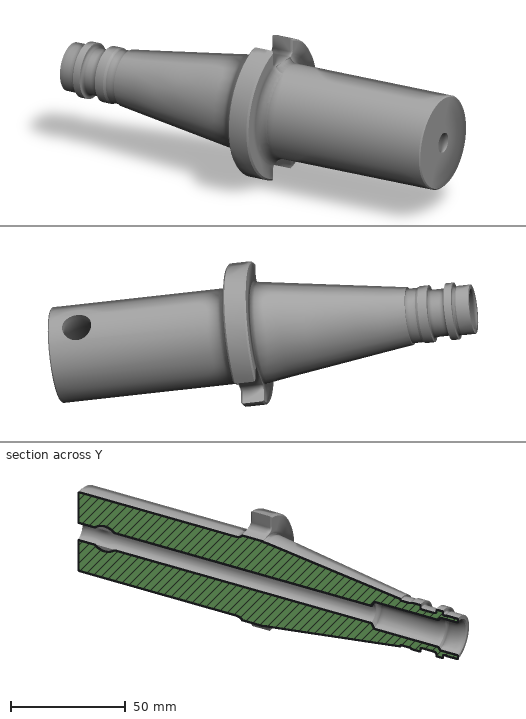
import cadquery as cq
import math

length = 185.0

pin_diameter = 21.6
pin_radius = pin_diameter / 2
relief_radius = 10.5
relief_slope = 0.5
relief_fillet = 0.5
relief_start = 5.7
collar_diameter = 25.0
collar_radius = collar_diameter / 2
collar_start = 7.4
collar_end = 10.7
neck_radius = 10.4
collar_fillet = 1.1
land_start = 18.3
land_end = 22.4
land_fillet = 0.5
rear_neck_diameter = 23.9
rear_neck_radius = rear_neck_diameter / 2
rear_neck_slope = 1.1

taper_ratio = 7 / 24
gauge_radius = 22.2
gauge_x = 93.2
taper_start = 28.0
taper_start_radius = gauge_radius - (gauge_x - taper_start) * taper_ratio / 2

flange_radius = 31.5
flange_front = 94.9
flange_back = 105.0
flange_chamfer = 0.7
root_fillet = 0.5
body_diameter = 42.0
body_radius = body_diameter / 2
body_chamfer = 0.5
body_fillet = 3.7

slot_width = 16.3
slot_floor = 22.5
slot_corner = 1.7
slot_chamfer = 0.7

mouth_chamfer = 0.5
recess_radius = 8.5
recess_depth = 8.7
thread_radius = 7.0
thread_end = 40.7
through_radius = 4.5
drill_half_angle = math.radians(60)

screw_diameter = 13.0
screw_from_end = 13.0

clearance = 1.8
overlap = 0.7


def revolve_about_x(profile):
    return profile.close().revolve(360, (0, 0, 0), (1, 0, 0))


def corner_gap(radius):
    """Distance along each side of a square corner from the corner to the middle of its fillet."""
    return radius * (1 - math.sqrt(0.5))


def turned_blank():
    collar_gap = corner_gap(collar_fillet)
    relief_gap = corner_gap(relief_fillet)
    land_gap = corner_gap(land_fillet)
    root_gap = corner_gap(root_fillet)
    profile = (
        cq.Workplane("XZ")
        .moveTo(0, 0)
        .lineTo(0, pin_radius)
        .lineTo(relief_start, pin_radius)
        .lineTo(relief_start + relief_slope, relief_radius)
        .lineTo(collar_start - relief_fillet, relief_radius)
        .threePointArc(
            (collar_start - relief_gap, relief_radius + relief_gap),
            (collar_start, relief_radius + relief_fillet),
        )
        .lineTo(collar_start, collar_radius)
        .lineTo(collar_end, collar_radius)
        .lineTo(collar_end, neck_radius + collar_fillet)
        .threePointArc(
            (collar_end + collar_gap, neck_radius + collar_gap),
            (collar_end + collar_fillet, neck_radius),
        )
        .lineTo(land_start - land_fillet, neck_radius)
        .threePointArc(
            (land_start - land_gap, neck_radius + land_gap),
            (land_start, neck_radius + land_fillet),
        )
        .lineTo(land_start, collar_radius)
        .lineTo(land_end, collar_radius)
        .lineTo(land_end + rear_neck_slope, rear_neck_radius)
        .lineTo(taper_start, rear_neck_radius)
        .lineTo(taper_start, taper_start_radius)
        .lineTo(gauge_x, gauge_radius)
        .lineTo(flange_front - root_fillet, gauge_radius)
        .threePointArc(
            (flange_front - root_gap, gauge_radius + root_gap),
            (flange_front, gauge_radius + root_fillet),
        )
        .lineTo(flange_front, flange_radius - flange_chamfer)
        .lineTo(flange_front + flange_chamfer, flange_radius)
        .lineTo(flange_back - flange_chamfer, flange_radius)
        .lineTo(flange_back, flange_radius - flange_chamfer)
        .lineTo(flange_back, body_radius)
        .lineTo(length - body_chamfer, body_radius)
        .lineTo(length, body_radius - body_chamfer)
        .lineTo(length, 0)
    )
    return revolve_about_x(profile)


def slot_section(x, widening=0.0):
    """Slot outline at a given x: walls moved outward by widening, rounded into a fixed floor."""
    half_width = slot_width / 2 + widening
    corner = slot_corner + widening
    gap = corner_gap(corner)
    flat = half_width - corner
    top = flange_radius + clearance
    return (
        cq.Workplane("YZ", origin=(x, 0, 0))
        .moveTo(-half_width, top)
        .lineTo(-half_width, slot_floor + corner)
        .threePointArc((gap - half_width, slot_floor + gap), (-flat, slot_floor))
        .lineTo(flat, slot_floor)
        .threePointArc((half_width - gap, slot_floor + gap), (half_width, slot_floor + corner))
        .lineTo(half_width, top)
        .close()
    )


def slot_flare(x_face, x_inside):
    """Chamfer of the slot walls, from the full widening at a flange face to none inside."""
    outer = slot_section(x_face, slot_chamfer).wires().val()
    inner = slot_section(x_inside).wires().val()
    return cq.Workplane(cq.Solid.makeLoft([outer, inner], True))


def drive_slot():
    slot = slot_section(flange_front - clearance).extrude(flange_back - flange_front + 2 * clearance)
    slot = slot.union(slot_flare(flange_front, flange_front + slot_chamfer))
    return slot.union(slot_flare(flange_back, flange_back - slot_chamfer))


def body_fillet_ring(step_height):
    """Fillet between the body and the flange back, ending on the flange at step_height above the body."""
    drop = body_fillet - step_height
    reach = math.sqrt(body_fillet**2 - drop**2)
    centre_x = flange_back + reach
    centre_r = body_radius + body_fillet
    start_angle = math.pi + math.asin(drop / body_fillet)
    end_angle = 1.5 * math.pi
    angle = (start_angle + end_angle) / 2
    profile = (
        cq.Workplane("XZ")
        .moveTo(flange_back - overlap, body_radius - overlap)
        .lineTo(flange_back - overlap, body_radius + step_height)
        .lineTo(flange_back, body_radius + step_height)
        .threePointArc(
            (centre_x + body_fillet * math.cos(angle), centre_r + body_fillet * math.sin(angle)),
            (centre_x, body_radius),
        )
        .lineTo(centre_x, body_radius - overlap)
    )
    return revolve_about_x(profile)


def axial_bore():
    cone_length = (thread_radius - through_radius) / math.tan(drill_half_angle)
    countersink_length = (recess_radius - thread_radius) / math.tan(drill_half_angle)
    profile = (
        cq.Workplane("XZ")
        .moveTo(0, 0)
        .lineTo(0, recess_radius + mouth_chamfer)
        .lineTo(mouth_chamfer, recess_radius)
        .lineTo(recess_depth, recess_radius)
        .lineTo(recess_depth + countersink_length, thread_radius)
        .lineTo(thread_end, thread_radius)
        .lineTo(thread_end + cone_length, through_radius)
        .lineTo(length, through_radius)
        .lineTo(length, 0)
    )
    return revolve_about_x(profile)


def screw_hole():
    hole = cq.Workplane("XZ").circle(screw_diameter / 2).extrude(-body_radius - clearance)
    return hole.translate((length - screw_from_end, 0, 0))


slot = drive_slot()
slots = slot.union(slot.mirror("XY"))

fillet_gap = cq.Workplane("XY").box(2 * body_fillet, slot_width - 2 * slot_corner, 4 * flange_radius)
fillet_gap = fillet_gap.translate((flange_back + body_fillet, 0, 0))
full_fillet = body_fillet_ring(body_fillet).cut(fillet_gap)
slot_fillet = body_fillet_ring(slot_floor - body_radius)

holder = turned_blank().union(full_fillet).cut(slots).union(slot_fillet)
result = holder.cut(axial_bore()).cut(screw_hole())